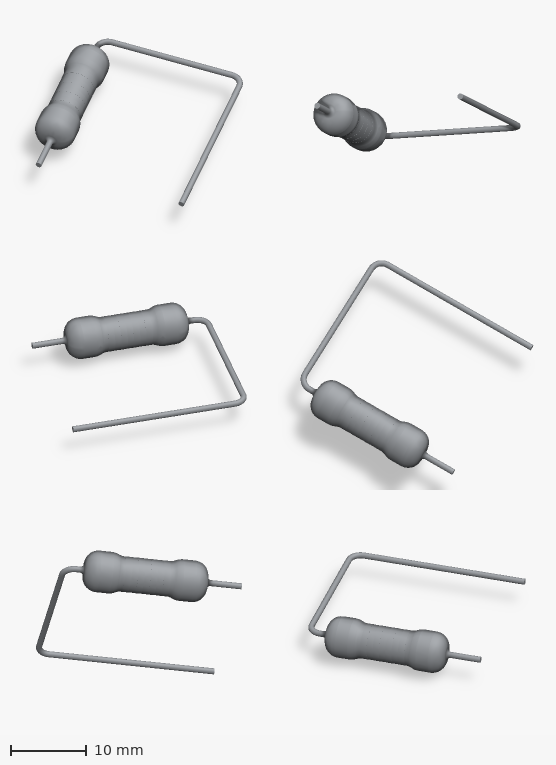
import cadquery as cq
import math

cap_diameter = 5.5
barrel_diameter = 4.67
barrel_length = 6.0
band_diameter = 4.7
stretch_count = 7
shoulder_length = 1.7
cap_length = 1.7

wire_diameter = 0.8
flare_fillet = 0.5
lead_pitch = 20.0
bend_radius = 2 * wire_diameter
bend_clearance = 0.5
overall_length = 24.1

cap_radius = cap_diameter / 2
barrel_radius = barrel_diameter / 2
band_radius = band_diameter / 2
band_width = barrel_length / stretch_count
wire_radius = wire_diameter / 2
flare_radius = wire_radius + flare_fillet
dome_radius = cap_radius - flare_radius

barrel_end = barrel_length / 2
shoulder_end = barrel_end + shoulder_length
cap_end = shoulder_end + cap_length
body_end = cap_end + dome_radius
flare_end = body_end + flare_fillet
bend_start = flare_end + bend_clearance
crossing_y = bend_start + bend_radius
tip_y = crossing_y + wire_radius - overall_length


def make_rod(radius, start_y, end_y):
    """Cylinder on the Y axis between two stations."""
    return cq.Workplane("XZ", origin=(0, start_y, 0)).circle(radius).extrude(start_y - end_y)


def make_band(stretch):
    """Raised colour band on one stretch of the barrel, counted from its -Y end."""
    start_y = -barrel_end + stretch * band_width
    return make_rod(band_radius, start_y, start_y + band_width)


def make_end_cap():
    """+Y end cap: S-shaped shoulder, straight stretch, domed end and flare onto the wire."""
    half_length = shoulder_length / 2
    half_rise = (cap_radius - barrel_radius) / 2
    shoulder_radius = (half_length**2 + half_rise**2) / (2 * half_rise)
    shoulder_middle = (barrel_radius + half_rise, barrel_end + half_length)

    dome_offset = dome_radius * math.sqrt(0.5)
    dome_middle = (flare_radius + dome_offset, cap_end + dome_offset)

    profile = (
        cq.Workplane("XY")
        .moveTo(0, barrel_end)
        .lineTo(barrel_radius, barrel_end)
        .radiusArc(shoulder_middle, shoulder_radius)
        .radiusArc((cap_radius, shoulder_end), -shoulder_radius)
        .lineTo(cap_radius, cap_end)
        .threePointArc(dome_middle, (flare_radius, body_end))
        .radiusArc((wire_radius, flare_end), flare_fillet)
        .lineTo(0, flare_end)
        .close()
    )
    return profile.revolve(360, (0, 0, 0), (0, 1, 0))


def make_long_lead():
    """Wire leaving the +Y end, bent twice to come back beside the body."""
    path = (
        cq.Workplane("XY")
        .moveTo(0, flare_end)
        .lineTo(0, bend_start)
        .radiusArc((bend_radius, crossing_y), bend_radius)
        .lineTo(lead_pitch - bend_radius, crossing_y)
        .radiusArc((lead_pitch, bend_start), bend_radius)
        .lineTo(lead_pitch, tip_y)
    )
    return cq.Workplane("XZ", origin=(0, flare_end, 0)).circle(wire_radius).sweep(path)


end_cap = make_end_cap()
short_lead = make_rod(wire_radius, tip_y, -flare_end)

result = make_rod(barrel_radius, -barrel_end, barrel_end)
result = result.union(end_cap).union(end_cap.mirror("XZ"))
for stretch in range(0, stretch_count, 2):
    result = result.union(make_band(stretch))
result = result.union(short_lead).union(make_long_lead())